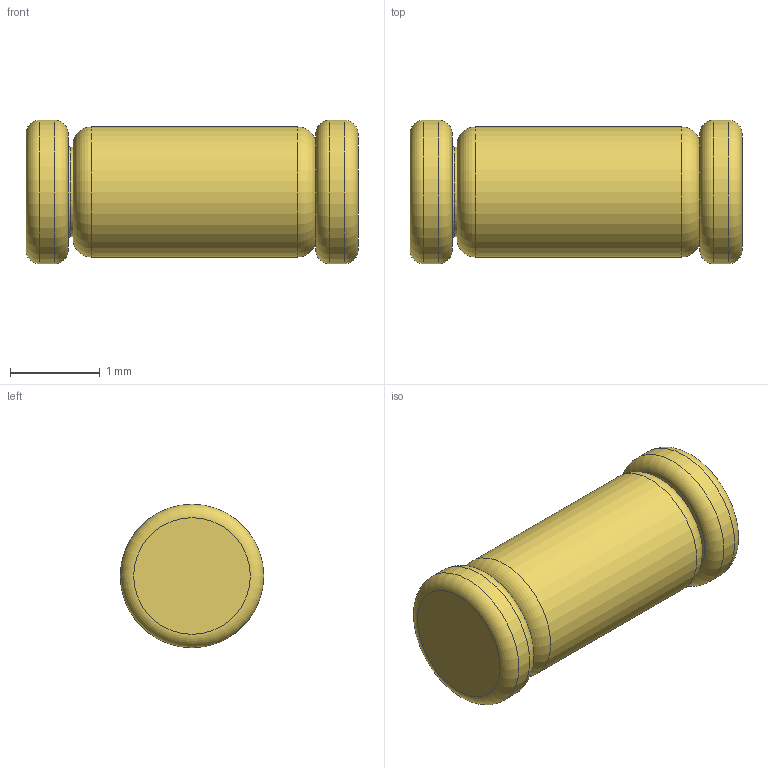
import cadquery as cq
import math

length = 3.7
cap_diameter = 1.6

cap_width = 0.47
cap_rounding = 0.15

body_diameter = 1.45
body_rounding = 0.2
neck_diameter = 1.0
neck_gap = 0.055
neck_flare_radius = 0.025

cap_inner_x = length / 2 - cap_width
body_start_x = -cap_inner_x + neck_gap
body_end_x = cap_inner_x


def cylinder_along_x(start_x, end_x, diameter):
    """Solid cylinder on the X axis between two stations."""
    plane = cq.Workplane("YZ", origin=(start_x, 0, 0))
    return plane.circle(diameter / 2).extrude(end_x - start_x)


def end_cap(start_x):
    """Metal end cap with both rims rounded."""
    cap = cylinder_along_x(start_x, start_x + cap_width, cap_diameter)
    return cap.edges("%CIRCLE").fillet(cap_rounding)


def glass_body():
    """Cylindrical body with rounded ends."""
    body = cylinder_along_x(body_start_x, body_end_x, body_diameter)
    return body.edges("%CIRCLE").fillet(body_rounding)


def neck():
    """Thin core across the gap, with a concave flare where it meets the -X cap."""
    neck_radius = neck_diameter / 2
    flare_end_x = -cap_inner_x + neck_flare_radius
    arc_middle_offset = neck_flare_radius * (1 - math.sqrt(0.5))
    arc_middle = (-cap_inner_x + arc_middle_offset, neck_radius + arc_middle_offset)
    half_profile = (
        cq.Workplane("XY")
        .moveTo(-cap_inner_x, 0)
        .lineTo(-cap_inner_x, neck_radius + neck_flare_radius)
        .threePointArc(arc_middle, (flare_end_x, neck_radius))
        .lineTo(body_start_x, neck_radius)
        .lineTo(body_start_x, 0)
        .close()
    )
    return half_profile.revolve(360, (0, 0, 0), (1, 0, 0))


result = end_cap(-length / 2).union(neck()).union(glass_body()).union(end_cap(cap_inner_x))